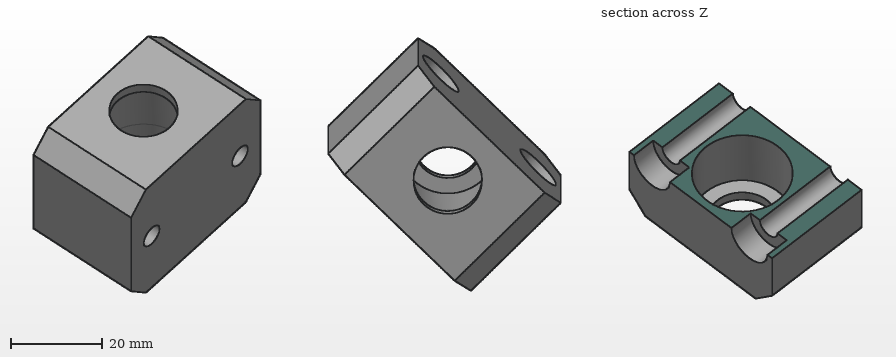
import cadquery as cq

width = 28.0
length = 44.0
height = 35.0
chamfer = 5.0

bore_diameter = 15.0
bore_from_left_face = 13.0

chamber_diameter = 22.0
lip_thickness = 2.5

screw_spacing = 30.0
screw_diameter = 5.32
head_diameter = 11.0
head_depth = 6.0

block = (
    cq.Workplane("XY")
    .box(width, length, height)
    .edges("|X")
    .chamfer(chamfer)
)

drilled_block = (
    block.faces("<X")
    .workplane(origin=(0, 0, 0))
    .pushPoints([(-screw_spacing / 2, 0), (screw_spacing / 2, 0)])
    .cboreHole(screw_diameter, head_diameter, head_depth)
)

bore_x = bore_from_left_face - width / 2
chamber_height = height - 2 * lip_thickness


def bore_cylinder(diameter, cylinder_height):
    """Vertical cylinder on the bore axis, centred at mid height."""
    return (
        cq.Workplane("XY")
        .center(bore_x, 0)
        .circle(diameter / 2)
        .extrude(cylinder_height / 2, both=True)
    )


bore = bore_cylinder(bore_diameter, height)
chamber = bore_cylinder(chamber_diameter, chamber_height)

result = drilled_block.cut(bore).cut(chamber)